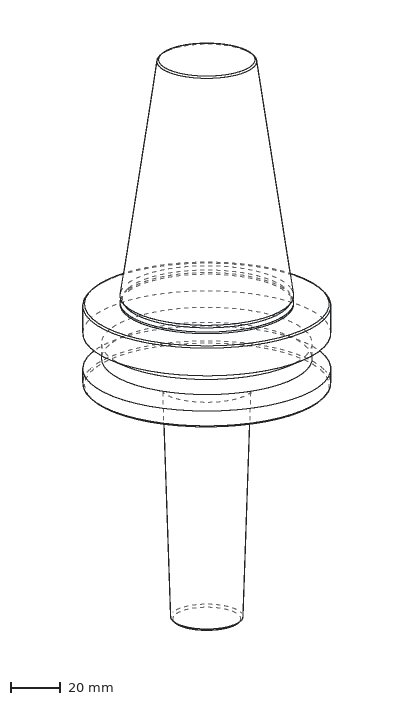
import cadquery as cq
import math

total_height = 239.8
flange_bottom = 100.2
flange_top = 135.0

taper_base_height = 138.5
taper_base_radius = 35.0
taper_top_radius = 20.1
taper_chamfer = 0.7
relief_depth = 1.0
relief_drop = 1.5
collar_height = 0.7

flange_diameter = 100.0
flange_radius = flange_diameter / 2
flange_chamfer = 0.7
groove_center = 114.9
groove_floor_radius = 42.5
groove_floor_width = 6.5
groove_mouth_width = 15.0

nose_tip_radius = 14.6
nose_root_radius = 17.7
nose_chamfer = 1.0
nose_fillet = 3.0


def half_profile():
    """Half section in the XZ plane, traced from the nose tip upwards."""
    fillet_start = flange_bottom - nose_fillet
    fillet_middle = nose_fillet * (1 - math.sqrt(0.5))
    relief_radius = taper_base_radius - relief_depth
    relief_height = taper_base_height - relief_drop
    return (
        cq.Workplane("XZ")
        .lineTo(nose_tip_radius - nose_chamfer, 0)
        .lineTo(nose_tip_radius, nose_chamfer)
        .lineTo(nose_root_radius, fillet_start)
        .threePointArc(
            (nose_root_radius + fillet_middle, flange_bottom - fillet_middle),
            (nose_root_radius + nose_fillet, flange_bottom),
        )
        .lineTo(flange_radius - flange_chamfer, flange_bottom)
        .lineTo(flange_radius, flange_bottom + flange_chamfer)
        .lineTo(flange_radius, groove_center - groove_mouth_width / 2)
        .lineTo(groove_floor_radius, groove_center - groove_floor_width / 2)
        .lineTo(groove_floor_radius, groove_center + groove_floor_width / 2)
        .lineTo(flange_radius, groove_center + groove_mouth_width / 2)
        .lineTo(flange_radius, flange_top - flange_chamfer)
        .lineTo(flange_radius - flange_chamfer, flange_top)
        .lineTo(taper_base_radius, flange_top)
        .lineTo(taper_base_radius, flange_top + collar_height)
        .lineTo(relief_radius, relief_height)
        .lineTo(taper_base_radius, taper_base_height)
        .lineTo(taper_top_radius, total_height - taper_chamfer)
        .lineTo(taper_top_radius - taper_chamfer, total_height)
        .lineTo(0, total_height)
        .close()
    )


result = half_profile().revolve(360, (0, 0, 0), (0, 1, 0))